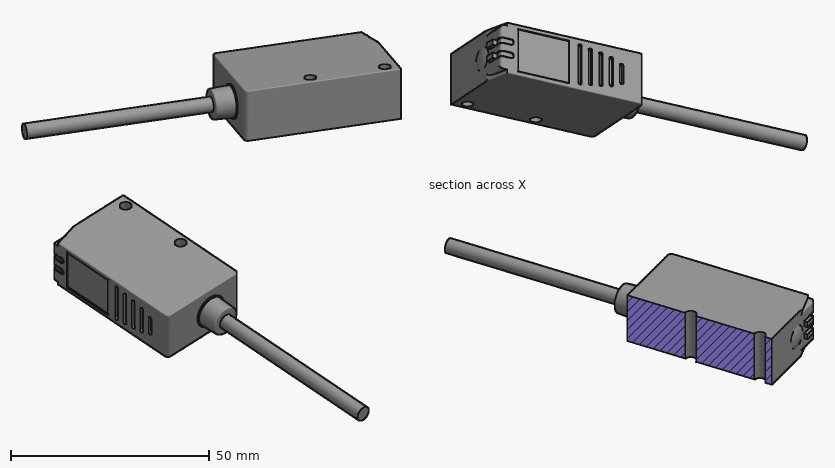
import cadquery as cq

width = 25.0
length = 41.8
height = 14.0
front_corner_radius = 1.1
rear_corner_radius = 0.9
rim_radius = 0.3

wedge_width = 6.9
wedge_length = 1.9
wedge_depth = 1.0

hole_diameter = 3.0
hole_side_offset = 2.7
hole_rear_offset = 3.4
hole_pitch = 20.0

cable_x = 14.9
cable_diameter = 4.0
overall_length = 98.3
grommet_length = 5.6
collar_diameter = 9.0
collar_thickness = 0.3
grommet_base_diameter = 8.5
grommet_tip_diameter = 8.0
grommet_tip_fillet = 0.4

label_rear_offset = 5.1
label_length = 14.9
label_height = 11.6
label_depth = 0.4

groove_heights = [11.0, 10.0, 9.3, 8.1, 5.6]
groove_width = 1.1
groove_pitch = 3.0
groove_rear_offset = 23.2
groove_depth = 0.8

window_spacing = 3.6
window_width = 1.5
window_length = 3.8
window_depth = 0.3
key_x = 3.9
key_length = 3.0
key_height = 1.0

lens_x = 9.3
lens_diameter = 6.2
lens_height = 0.6

cable_length = overall_length - length - key_height


def make_shell():
    """Block with its rear -X corner cut off and rounded rims, plain along the rear."""
    outline = [
        (0, 0),
        (width, 0),
        (width, length),
        (wedge_width, length),
        (0, length - wedge_length),
    ]
    shell = cq.Workplane("XY").polyline(outline).close().extrude(height / 2, both=True)
    shell = shell.edges("|Z and <Y").fillet(front_corner_radius)
    return shell.faces("<Z or >Z").edges("not >Y").fillet(rim_radius)


def make_rear_corner():
    """Lower block that fills the cut-off corner between the two rims, with rounded rear edges."""
    block = cq.Workplane("XY").box(wedge_width, 2 * wedge_length, height - 2 * wedge_depth)
    block = block.translate((wedge_width / 2, length - wedge_length, 0))
    return block.edges("(|Z and >Y and <X) or (|X and >Y)").fillet(rear_corner_radius)


def make_holes():
    first_y = length - hole_rear_offset
    return (
        cq.Workplane("XY")
        .pushPoints([(width - hole_side_offset, first_y - i * hole_pitch) for i in range(2)])
        .circle(hole_diameter / 2)
        .extrude(height, both=True)
    )


def side_plane(y, z=0):
    """Sketch plane on the -X side, with local x along +Y and extrusion into the housing."""
    return cq.Workplane(cq.Plane(origin=(0, y, z), xDir=(0, 1, 0), normal=(1, 0, 0)))


def make_label():
    center_y = length - label_rear_offset - label_length / 2
    return side_plane(center_y).rect(label_length, label_height).extrude(label_depth)


def make_groove(index):
    center_y = length - groove_rear_offset - index * groove_pitch
    return side_plane(center_y).slot2D(groove_heights[index], groove_width, 90).extrude(groove_depth)


def make_window(z):
    """Channel of even depth, from a round end on the -X side around the rear corner to the key."""
    half = window_width / 2
    round_center = length - window_length + half
    straight_length = length - round_center
    band = (
        side_plane(round_center, z)
        .moveTo(straight_length, -half)
        .lineTo(0, -half)
        .threePointArc((-half, 0), (0, half))
        .lineTo(straight_length, half)
        .close()
        .extrude(key_x)
    )
    floor = (
        cq.Workplane("XY")
        .box(width, length, height)
        .translate((width / 2 + window_depth, length / 2 - window_depth, 0))
        .edges("|Z and >Y and <X")
        .fillet(rear_corner_radius - window_depth)
    )
    return band.cut(floor)


def make_key(z):
    """Key standing on the rear face, rooted one key height inside it."""
    return cq.Workplane("XY").box(key_length, 2 * key_height, window_width).translate((key_x, length, z))


def make_lens():
    """Spherical cap turned about an axis along Y."""
    radius = lens_diameter / 2
    sphere_radius = (radius**2 + lens_height**2) / (2 * lens_height)
    sphere = cq.Workplane("XY").sphere(sphere_radius)
    sphere = sphere.translate((lens_x, length + lens_height - sphere_radius, 0))
    root = cq.Workplane("XZ", origin=(lens_x, length + lens_height, 0)).circle(radius).extrude(2 * lens_height)
    return sphere.intersect(root)


def make_cable():
    """Tapered grommet and round cable leaving the y = 0 face towards -Y."""
    base = cq.Workplane("XZ", origin=(cable_x, 0, 0))
    grommet = (
        base.circle(grommet_base_diameter / 2)
        .workplane(offset=grommet_length)
        .circle(grommet_tip_diameter / 2)
        .loft()
        .faces("<Y")
        .edges()
        .fillet(grommet_tip_fillet)
    )
    collar = base.circle(collar_diameter / 2).extrude(collar_thickness)
    return grommet.union(collar).union(base.circle(cable_diameter / 2).extrude(cable_length))


result = make_shell().union(make_rear_corner())
result = result.cut(make_holes()).cut(make_label())
for groove_index in range(len(groove_heights)):
    result = result.cut(make_groove(groove_index))
for window_z in (window_spacing / 2, -window_spacing / 2):
    result = result.cut(make_window(window_z)).union(make_key(window_z))
result = result.union(make_lens()).union(make_cable())